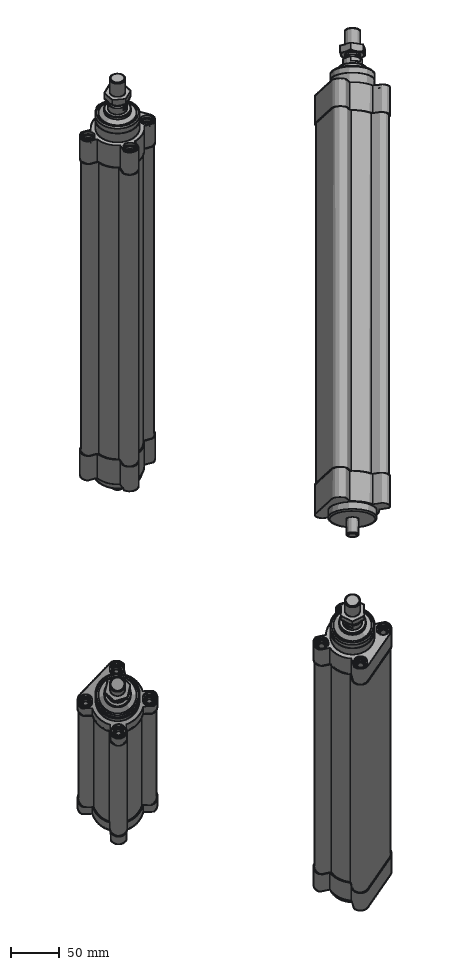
import cadquery as cq
import math

REAR_BOSS_BOTTOM = 18.0
REAR_CAP_BOTTOM = 27.5
TUBE_BOTTOM = 61.0
TUBE_TOP = 459.5
FRONT_CAP_TOP = 490.5
COLLAR_TOP = 502.5
BEARING_TOP = 511.0
CONE_TOP = 514.0
WIPER_TOP = 517.0
ROD_FLATS_BOTTOM = 521.0
ROD_SHOULDER = 526.5
THREAD_BOTTOM = 529.0
NUT_BOTTOM = 531.0
ROD_TOP = 558.5

CAP_WIDTH = 64.0
CAP_CORE_DIAMETER = 55.5
CAP_NECK = 13.0
CAP_CORNER_RADIUS = 9.5
TUBE_WIDTH = 62.5
TUBE_CORE_DIAMETER = 53.0
TUBE_NECK = 11.0
TUBE_CORNER_RADIUS = 9.5
LOBE_LIP_RADIUS = 2.0

HOLE_SPACING = 46.5
COUNTERBORE_DIAMETER = 14.0
COUNTERBORE_DEPTH = 3.5
RECESS_DIAMETER = 10.0
RECESS_DEPTH = 6.5
DRILL_DIAMETER = 6.5
DRILL_DEPTH = 17.0
DRILL_TIP_ANGLE = 118.0

COLLAR_DIAMETER = 46.0
BEARING_DIAMETER = 46.5
BEARING_CHAMFER = 1.5
CONE_BASE_DIAMETER = 39.0
WIPER_DIAMETER = 28.0
WIPER_CHAMFER = 0.5

REAR_BOSS_DIAMETER = 50.0
REAR_BOSS_CHAMFER = 1.5
SHAFT_DIAMETER = 13.0
SHAFT_CHAMFER = 1.0

ROD_DIAMETER = 20.0
ROD_ACROSS_FLATS = 17.5
ROD_BEVEL_HEIGHT = 1.0
RELIEF_DIAMETER = 15.0
THREAD_DIAMETER = 16.0
THREAD_CHAMFER = 1.0
NUT_ACROSS_FLATS = 24.0
NUT_HEIGHT = 8.5
NUT_CHAMFER_HEIGHT = 1.0

TOLERANCE = 0.005


def cylinder(diameter, bottom, top):
    """Cylinder on the Z axis between two heights."""
    return cq.Workplane("XY").workplane(offset=bottom).circle(diameter / 2).extrude(top - bottom)


def turned(points):
    """Solid of revolution about Z from (radius, height) points; the ends close on the axis."""
    return cq.Workplane("XZ").polyline(points).close().revolve(360, (0, 0), (0, 1))


def lobed_bar(width, core_diameter, neck, corner_radius, bottom, top):
    """Round core with four corner lobes, recessed on three sides and flat on the +Y side."""
    height = top - bottom
    half_width = width / 2
    core_edge = math.sqrt((core_diameter / 2) ** 2 - neck**2)
    lip = neck + half_width - core_edge

    plane = cq.Workplane("XY").workplane(offset=bottom)
    bar = plane.rect(width, width).extrude(height).edges("|Z").fillet(corner_radius)
    recess_corners = [(-lip, -half_width), (lip, -half_width), (0, lip - half_width)]
    recess = plane.polyline(recess_corners).close().extrude(height)
    for angle in (-90, 0, 90):
        bar = bar.cut(recess.rotate((0, 0, 0), (0, 0, 1), angle))

    def is_lip(edge):
        center = edge.Center()
        return abs(min(abs(center.x), abs(center.y)) - lip) < TOLERANCE

    bar = bar.edges("|Z").filter(is_lip).fillet(LOBE_LIP_RADIUS)
    return bar.union(cylinder(core_diameter, bottom, top))


def cap_bar(bottom, top):
    """Lobed bar with the section of the caps."""
    return lobed_bar(CAP_WIDTH, CAP_CORE_DIAMETER, CAP_NECK, CAP_CORNER_RADIUS, bottom, top)


def corner_hole():
    """Cutter for one stepped hole with a conical drill tip, opening at the top of the front cap."""
    counterbore_radius = COUNTERBORE_DIAMETER / 2
    recess_radius = RECESS_DIAMETER / 2
    drill_radius = DRILL_DIAMETER / 2
    counterbore_floor = FRONT_CAP_TOP - COUNTERBORE_DEPTH
    recess_floor = FRONT_CAP_TOP - RECESS_DEPTH
    drill_floor = FRONT_CAP_TOP - DRILL_DEPTH
    tip_height = drill_radius / math.tan(math.radians(DRILL_TIP_ANGLE / 2))
    return turned([
        (0, FRONT_CAP_TOP),
        (counterbore_radius, FRONT_CAP_TOP),
        (counterbore_radius, counterbore_floor),
        (recess_radius, counterbore_floor),
        (recess_radius, recess_floor),
        (drill_radius, recess_floor),
        (drill_radius, drill_floor),
        (0, drill_floor - tip_height),
    ])


def bearing_nose():
    """Collar, chamfered bearing ring, shallow cone and wiper around the rod."""
    collar_radius = COLLAR_DIAMETER / 2
    bearing_radius = BEARING_DIAMETER / 2
    wiper_radius = WIPER_DIAMETER / 2
    return turned([
        (0, FRONT_CAP_TOP),
        (collar_radius, FRONT_CAP_TOP),
        (collar_radius, COLLAR_TOP),
        (bearing_radius, COLLAR_TOP),
        (bearing_radius, BEARING_TOP - BEARING_CHAMFER),
        (bearing_radius - BEARING_CHAMFER, BEARING_TOP),
        (CONE_BASE_DIAMETER / 2, BEARING_TOP),
        (wiper_radius, CONE_TOP),
        (wiper_radius, WIPER_TOP - WIPER_CHAMFER),
        (wiper_radius - WIPER_CHAMFER, WIPER_TOP),
        (0, WIPER_TOP),
    ])


def make_front_cap():
    """Front cap with four corner holes, bearing nose and bore for the rod."""
    cap = cap_bar(TUBE_TOP, FRONT_CAP_TOP)
    hole = corner_hole()
    for x_side in (-1, 1):
        for y_side in (-1, 1):
            cap = cap.cut(hole.translate((x_side * HOLE_SPACING / 2, y_side * HOLE_SPACING / 2, 0)))
    cap = cap.union(bearing_nose())
    return cap.cut(cylinder(ROD_DIAMETER, TUBE_TOP, WIPER_TOP))


def make_tube():
    """Long lobed profile between the caps."""
    return lobed_bar(TUBE_WIDTH, TUBE_CORE_DIAMETER, TUBE_NECK, TUBE_CORNER_RADIUS, TUBE_BOTTOM, TUBE_TOP)


def make_rear_cap():
    """Rear cap with a chamfered centring boss and shaft stub."""
    boss = cylinder(REAR_BOSS_DIAMETER, REAR_BOSS_BOTTOM, REAR_CAP_BOTTOM)
    boss = boss.faces("<Z").chamfer(REAR_BOSS_CHAMFER)
    shaft = cylinder(SHAFT_DIAMETER, 0, REAR_BOSS_BOTTOM).faces("<Z").chamfer(SHAFT_CHAMFER)
    return cap_bar(REAR_CAP_BOTTOM, TUBE_BOTTOM).union(boss).union(shaft)


def make_rod():
    """Piston rod seated on the tube, with two wrench flats, a thread relief and a plain thread."""
    rod_radius = ROD_DIAMETER / 2
    relief_radius = RELIEF_DIAMETER / 2
    thread_radius = THREAD_DIAMETER / 2
    rod = turned([
        (0, TUBE_TOP),
        (rod_radius, TUBE_TOP),
        (rod_radius, ROD_SHOULDER - ROD_BEVEL_HEIGHT),
        (thread_radius, ROD_SHOULDER),
        (relief_radius, ROD_SHOULDER),
        (relief_radius, THREAD_BOTTOM),
        (thread_radius, THREAD_BOTTOM),
        (thread_radius, ROD_TOP - THREAD_CHAMFER),
        (thread_radius - THREAD_CHAMFER, ROD_TOP),
        (0, ROD_TOP),
    ])
    flats_height = ROD_SHOULDER - ROD_FLATS_BOTTOM
    flat_core = (
        cq.Workplane("XY").workplane(offset=ROD_FLATS_BOTTOM)
        .rect(ROD_ACROSS_FLATS, ROD_DIAMETER).extrude(flats_height)
    )
    return rod.cut(cylinder(2 * ROD_DIAMETER, ROD_FLATS_BOTTOM, ROD_SHOULDER).cut(flat_core))


def make_nut():
    """Hexagonal lock nut with corners on the Y axis, chamfered underneath."""
    top = NUT_BOTTOM + NUT_HEIGHT
    across_corners = NUT_ACROSS_FLATS / math.cos(math.radians(30))
    chamfer_width = (across_corners - NUT_ACROSS_FLATS) / 2
    hexagon = (
        cq.Workplane("XY").workplane(offset=NUT_BOTTOM)
        .polygon(6, across_corners).extrude(NUT_HEIGHT)
        .rotate((0, 0, 0), (0, 0, 1), 90)
    )
    envelope = cylinder(across_corners, NUT_BOTTOM, top)
    envelope = envelope.faces("<Z").chamfer(NUT_CHAMFER_HEIGHT, chamfer_width)
    return hexagon.intersect(envelope).cut(cylinder(THREAD_DIAMETER, NUT_BOTTOM, top))


front_cap = make_front_cap()
tube = make_tube()
rear_cap = make_rear_cap()
piston_rod = make_rod()
lock_nut = make_nut()

result = cq.Compound.makeCompound([
    front_cap.val(),
    tube.val(),
    rear_cap.val(),
    piston_rod.val(),
    lock_nut.val(),
])